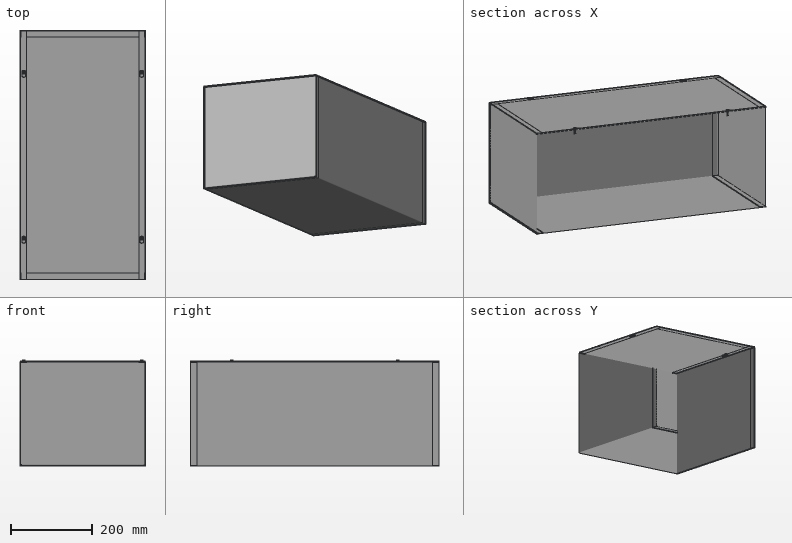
import cadquery as cq


inside_width = 304.8
length = 609.6
sheet = 1.588
width = inside_width + 2 * sheet
overall_height = 259.7
inner_bend_radius = sheet / 4
bend_radius = inner_bend_radius + sheet
flange_width = 15.875

screw_spacing_y = 406.4
screw_side_offset = 9.525
screw_spacing_x = width - 2 * screw_side_offset
head_height = 2.52
washer_diameter = 9.5
washer_thickness = 0.8
head_diameter = 7.14
head_edge_radius = 1.2
shank_diameter = 4.17
shank_length = 12.7
recess_length = 4.4
recess_width = 1.2
recess_depth = 1.3

cover_top = overall_height - head_height
cover_bottom = cover_top - sheet
cover_width = inside_width
cover_length = length
keyhole_diameter = 9.75
keyhole_offset = 7.62

screw_points = [
    (x, y)
    for x in (-screw_spacing_x / 2, screw_spacing_x / 2)
    for y in (-screw_spacing_y / 2, screw_spacing_y / 2)
]


def make_screw_holes():
    """Cutters for the holes that the screw shanks fill."""
    return (
        cq.Workplane("XY", origin=(0, 0, cover_top - shank_length))
        .pushPoints(screw_points)
        .circle(shank_diameter / 2)
        .extrude(shank_length)
    )


def make_wrapper():
    """Bottom and sides bent from one sheet, with inward flanges along the top of the sides."""
    outside = (
        cq.Workplane("XY")
        .box(width, length, cover_bottom, centered=(True, True, False))
        .edges("|Y")
        .fillet(bend_radius)
    )
    inside = (
        cq.Workplane("XY", origin=(0, 0, sheet))
        .box(width - 2 * sheet, length, cover_bottom - 2 * sheet, centered=(True, True, False))
        .edges("|Y")
        .fillet(inner_bend_radius)
    )
    opening = cq.Workplane("XY", origin=(0, 0, cover_bottom - sheet)).box(
        width - 2 * flange_width, length, sheet, centered=(True, True, False)
    )
    return outside.cut(inside).cut(opening).cut(make_screw_holes())


def make_end_panel(side, wrapper):
    """Tray closing one end (side -1 or 1), its flanges turned inward along all four edges.

    The side and bottom flanges lie inside the wrapper, the top flange fits between the wrapper's flanges.
    """
    panel_width = width - 2 * sheet
    panel_height = cover_bottom - sheet
    middle_y = -(length - flange_width) / 2
    outside = (
        cq.Workplane("XY", origin=(0, middle_y, sheet))
        .box(panel_width, flange_width, panel_height, centered=(True, True, False))
        .faces("<Y")
        .edges()
        .fillet(bend_radius)
    )
    inside = (
        cq.Workplane("XY", origin=(0, middle_y + sheet, 2 * sheet))
        .box(panel_width - 2 * sheet, flange_width, panel_height - 2 * sheet, centered=(True, True, False))
        .faces("<Y")
        .edges()
        .fillet(inner_bend_radius)
    )
    corner_notches = (
        cq.Workplane("XY", origin=(0, middle_y, cover_bottom - sheet))
        .pushPoints([(-width / 2, 0), (width / 2, 0)])
        .rect(2 * flange_width, flange_width)
        .extrude(sheet)
    )
    panel = outside.cut(inside).cut(corner_notches)
    if side > 0:
        panel = panel.mirror("XZ")
    return panel.cut(wrapper)


def make_cover():
    """Flat sheet with four keyholes, the wide end of each toward -Y of its screw."""
    cover = cq.Workplane("XY", origin=(0, 0, cover_bottom)).box(
        cover_width, cover_length, sheet, centered=(True, True, False)
    )
    entries = (
        cq.Workplane("XY", origin=(0, -keyhole_offset, cover_bottom))
        .pushPoints(screw_points)
        .circle(keyhole_diameter / 2)
        .extrude(sheet)
    )
    slots = (
        cq.Workplane("XY", origin=(0, -keyhole_offset / 2, cover_bottom))
        .pushPoints(screw_points)
        .slot2D(keyhole_offset + shank_diameter, shank_diameter, 90)
        .extrude(sheet)
    )
    return cover.cut(entries).cut(slots)


def make_screw(x, y):
    """Round-headed screw with a washer face under its head and a cross recess."""
    washer = (
        cq.Workplane("XY", origin=(x, y, cover_top))
        .circle(washer_diameter / 2)
        .extrude(washer_thickness)
    )
    head = (
        cq.Workplane("XY", origin=(x, y, cover_top))
        .circle(head_diameter / 2)
        .extrude(head_height)
        .faces(">Z")
        .edges()
        .fillet(head_edge_radius)
    )
    shank = (
        cq.Workplane("XY", origin=(x, y, cover_top))
        .circle(shank_diameter / 2)
        .extrude(-shank_length)
    )
    head_top = cq.Workplane("XY", origin=(x, y, overall_height))
    recess_along_x = head_top.rect(recess_length, recess_width).extrude(-recess_depth)
    recess_along_y = head_top.rect(recess_width, recess_length).extrude(-recess_depth)
    return head.union(washer).union(shank).cut(recess_along_x).cut(recess_along_y)


wrapper = make_wrapper()
end_panels = [make_end_panel(side, wrapper) for side in (-1, 1)]
cover = make_cover()
screws = [make_screw(x, y) for x, y in screw_points]

result = cq.Compound.makeCompound(
    [
        wrapper.val(),
        cover.val(),
        *[panel.val() for panel in end_panels],
        *[screw.val() for screw in screws],
    ]
)